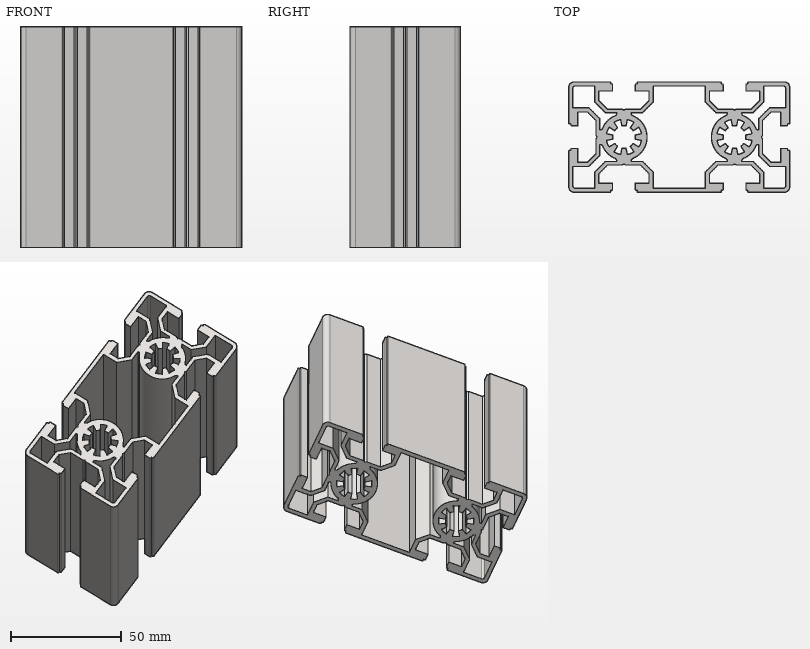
import math

import cadquery as cq

WIDTH = 100.0
DEPTH = 50.0
LENGTH = 100.0
CORNER_RADIUS = 2.5
INNER_CORNER_RADIUS = 1
SKIN = 1.9

MODULE = DEPTH
CORE_X = (WIDTH - MODULE) / 2
CORE_CENTRES = [(-CORE_X, 0), (CORE_X, 0)]
CORE_RADIUS = 10.5
NECK_WIDTH = 6.75
NECK_FILLET = 0.9

BORE_ROOT_RADIUS = 8
BORE_TIP_RADIUS = 5.05
TOOTH_COUNT = 8
TOOTH_TIP_WIDTH = 1.75
TOOTH_ROOT_WIDTH = 3.4
TOOTH_OVERLAP = 0.5

MOUTH_HALF = 5.1
STEP_WIDTH = 0.85
STEP_DEPTH = 0.95
LIP_ROUND = 0.42
LIP = 4.2
SLOT_HALF = 11.3
SLOT_DEPTH = 12.3
SLOT_CHAMFER = 3.8
GROOVE_HALF = 0.8
GROOVE_DEPTH = 0.5

SLOT_SIDE_WALL = 2.0
SLOT_FLOOR_WALL = 1.75
HOUSING_HALF = SLOT_HALF + SLOT_SIDE_WALL
HOUSING_DEPTH = SLOT_DEPTH + SLOT_FLOOR_WALL
HOUSING_CHAMFER = 4.95

SLOT_PLACES = [(x, turn) for x, _ in CORE_CENTRES for turn in (0, 180)]
SLOT_PLACES += [(-CORE_X, 90), (CORE_X, -90)]


def mirrored_prism(half_outline):
    """Extrude an outline given by its +X half, mirrored about the Y axis."""
    other_half = [(-x, y) for x, y in reversed(half_outline) if x > 0]
    return cq.Workplane("XY").polyline(half_outline + other_half).close().extrude(LENGTH)


def at_slots(shape):
    """Copy a shape made for the +Y face of a module at the origin to all six slots."""
    copies = cq.Workplane("XY")
    for x, turn in SLOT_PLACES:
        copies = copies.add(shape.rotate((0, 0, 0), (0, 0, 1), turn).translate((x, 0, 0)))
    return copies.combine()


def make_shell():
    outer = cq.Workplane("XY").rect(WIDTH, DEPTH).extrude(LENGTH)
    outer = outer.edges("|Z").fillet(CORNER_RADIUS)
    inner = cq.Workplane("XY").rect(WIDTH - 2 * SKIN, DEPTH - 2 * SKIN).extrude(LENGTH)
    inner = inner.edges("|Z").fillet(INNER_CORNER_RADIUS)
    return outer.cut(inner)


def make_slot_housing():
    """Walls and lips around one slot, filled, with the neck joining it to the core."""
    face = MODULE / 2
    floor = face - HOUSING_DEPTH
    neck_half = NECK_WIDTH / 2
    return mirrored_prism([
        (neck_half, 0),
        (neck_half, floor),
        (HOUSING_HALF - HOUSING_CHAMFER, floor),
        (HOUSING_HALF, floor + HOUSING_CHAMFER),
        (HOUSING_HALF, face),
    ])


def make_slot():
    """Void of one T-slot with a stepped, rounded mouth and a V groove along its floor."""
    face = MODULE / 2
    floor = face - SLOT_DEPTH
    ledge = face - STEP_DEPTH
    step_half = MOUTH_HALF + STEP_WIDTH
    half = (
        cq.Workplane("XY")
        .moveTo(0, floor - GROOVE_DEPTH)
        .lineTo(GROOVE_HALF, floor)
        .lineTo(SLOT_HALF - SLOT_CHAMFER, floor)
        .lineTo(SLOT_HALF, floor + SLOT_CHAMFER)
        .lineTo(SLOT_HALF, face - LIP)
        .lineTo(MOUTH_HALF, face - LIP)
        .lineTo(MOUTH_HALF, ledge - LIP_ROUND)
        .radiusArc((MOUTH_HALF + LIP_ROUND, ledge), LIP_ROUND)
        .lineTo(step_half, ledge)
        .lineTo(step_half, face - LIP_ROUND)
        .radiusArc((step_half + LIP_ROUND, face), LIP_ROUND)
        .lineTo(0, face)
        .close()
        .extrude(LENGTH)
    )
    return half.union(half.mirror("YZ"))


def make_bore():
    """Void of one core bore, with tapered teeth ending on a clear round hole."""
    bore = cq.Workplane("XY").circle(BORE_ROOT_RADIUS).extrude(LENGTH)
    clear_hole = cq.Workplane("XY").circle(BORE_TIP_RADIUS).extrude(LENGTH)
    tooth = mirrored_prism([
        (TOOTH_TIP_WIDTH / 2, BORE_TIP_RADIUS - TOOTH_OVERLAP),
        (TOOTH_ROOT_WIDTH / 2, BORE_ROOT_RADIUS + TOOTH_OVERLAP),
    ])
    for i in range(TOOTH_COUNT):
        bore = bore.cut(tooth.rotate((0, 0, 0), (0, 0, 1), i * 360 / TOOTH_COUNT))
    return bore.union(clear_hole)


def round_neck_roots(body):
    """Fillet the inside corners where each neck meets its round core."""
    half = NECK_WIDTH / 2
    reach = math.sqrt(CORE_RADIUS**2 - half**2)
    for x, turn in SLOT_PLACES:
        slot_frame = cq.Location(cq.Vector(x, 0, 0), cq.Vector(0, 0, 1), turn)
        for side in (-half, half):
            root = slot_frame * cq.Location(cq.Vector(side, reach, LENGTH / 2))
            nearest = cq.selectors.NearestToPointSelector(root.toTuple()[0])
            body = body.edges(nearest).fillet(NECK_FILLET)
    return body


cores = cq.Workplane("XY").pushPoints(CORE_CENTRES).circle(CORE_RADIUS).extrude(LENGTH)
body = make_shell().union(at_slots(make_slot_housing())).union(cores)
body = round_neck_roots(body)
body = body.cut(at_slots(make_slot()))
for x, y in CORE_CENTRES:
    body = body.cut(make_bore().translate((x, y, 0)))

result = body